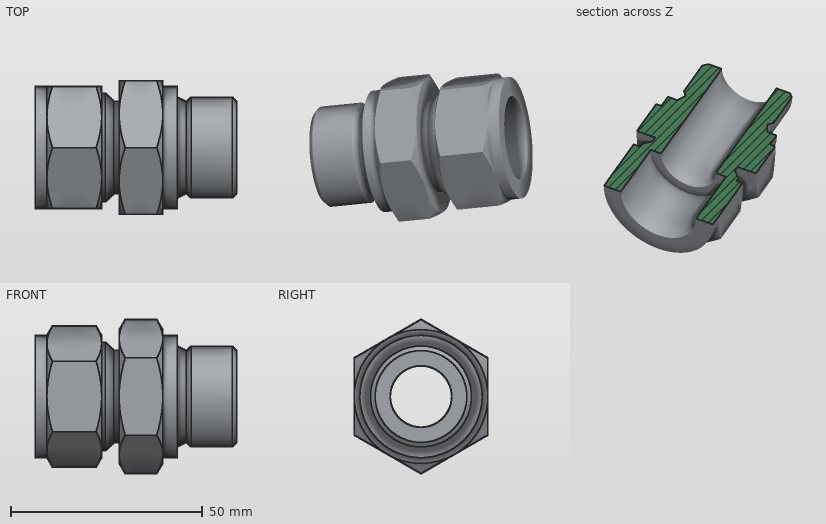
import cadquery as cq
import math


nut_start = 3.1
nut_end = 17.4
shoulder_end = 18.4
neck_start = 20.6
body_hex_start = 22.0
body_hex_end = 33.4
collar_end = 37.2
undercut_end = 39.6
overall_length = 52.8

hexagon_sides = 6
nut_across_flats = 32.0
body_across_flats = 35.0
hex_chamfer_angle = 30.0

collar_diameter = 32.0
shoulder_diameter = 28.5
neck_diameter = 24.3
thread_diameter = 26.4
thread_chamfer = 1.2
undercut_diameter = thread_diameter - 2 * thread_chamfer

tube_bore_diameter = 22.0
tube_bore_depth = nut_end
through_bore_diameter = 16.0


def revolve_about_x(points):
    """Solid of revolution about X from an (x, radius) outline."""
    return cq.Workplane("XZ").polyline(points).close().revolve(360, (0, 0, 0), (1, 0, 0))


def cylinder_along_x(start, end, diameter):
    return cq.Workplane("YZ", origin=(start, 0, 0)).circle(diameter / 2).extrude(end - start)


def chamfered_hexagon(start, end, across_flats):
    """Hexagon along X, corners up and down, both ends coned down to the across-flats circle."""
    across_corners = across_flats / math.cos(math.pi / hexagon_sides)
    flat_radius = across_flats / 2
    corner_radius = across_corners / 2
    chamfer_length = (corner_radius - flat_radius) * math.tan(math.radians(hex_chamfer_angle))
    prism = (
        cq.Workplane("YZ", origin=(start, 0, 0))
        .transformed(rotate=(0, 0, 90))
        .polygon(hexagon_sides, across_corners)
        .extrude(end - start)
    )
    envelope = revolve_about_x([
        (start, 0),
        (start, flat_radius),
        (start + chamfer_length, corner_radius),
        (end - chamfer_length, corner_radius),
        (end, flat_radius),
        (end, 0),
    ])
    return prism.intersect(envelope)


def turned_body():
    """Round profile running the full length of the fitting."""
    collar_radius = collar_diameter / 2
    shoulder_radius = shoulder_diameter / 2
    neck_radius = neck_diameter / 2
    thread_radius = thread_diameter / 2
    undercut_radius = undercut_diameter / 2
    return revolve_about_x([
        (0, 0),
        (0, collar_radius),
        (nut_end, collar_radius),
        (nut_end, shoulder_radius),
        (shoulder_end, shoulder_radius),
        (neck_start, neck_radius),
        (body_hex_start, neck_radius),
        (body_hex_start, collar_radius),
        (collar_end, collar_radius),
        (collar_end, thread_radius),
        (undercut_end, undercut_radius),
        (undercut_end + thread_chamfer, thread_radius),
        (overall_length - thread_chamfer, thread_radius),
        (overall_length, thread_radius - thread_chamfer),
        (overall_length, 0),
    ])


union_nut = chamfered_hexagon(nut_start, nut_end, nut_across_flats)
body_hexagon = chamfered_hexagon(body_hex_start, body_hex_end, body_across_flats)
tube_bore = cylinder_along_x(0, tube_bore_depth, tube_bore_diameter)
through_bore = cylinder_along_x(0, overall_length, through_bore_diameter)

result = turned_body().union(union_nut).union(body_hexagon).cut(tube_bore).cut(through_bore)